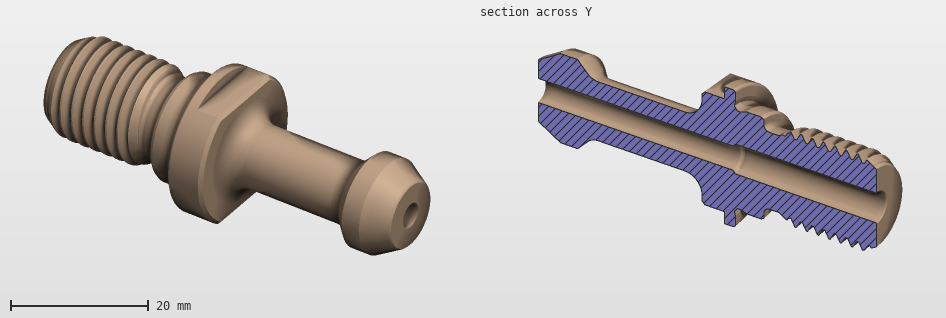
import cadquery as cq
import math

LENGTH = 60.0
FLANGE_START = 25.0
FLANGE_END = 31.0
FLAT_START = 27.0
THREAD_RUNOUT_END = 17.35
COLLAR_START = 20.0
COLLAR_LAND_END = 23.05
RELIEF_START = 24.05
HEAD_LAND_START = 53.0
HEAD_LAND_END = 56.05
WIDE_BORE_DEPTH = FLANGE_START

FLANGE_DIAMETER = 23.0
FLANGE_RADIUS = FLANGE_DIAMETER / 2
FLAT_HALF_WIDTH = 9.5
NECK_RADIUS = 6.5
COLLAR_RADIUS = 8.6
RELIEF_RADIUS = 8.2
RELIEF_DEEPEST_RADIUS = 8.8
RELIEF_FACE_RADIUS = 9.55
SHANK_RADIUS = 5.0
HEAD_RADIUS = 7.5
BORE_RADIUS = 2.0
WIDE_BORE_RADIUS = 2.45

NECK_FILLET = 0.9
COLLAR_CHAMFER_LENGTH = 0.55
COLLAR_CHAMFER_DROP = 0.3
BORE_CHAMFER = 0.2
RELIEF_DEPTH = 0.2
RELIEF_LEAD = 0.3
FLANGE_ROUND = 0.5
REAR_CHAMFER = 0.55
SHANK_FILLET = 3.0
HEAD_FILLET = 2.5
HEAD_SEAT_ANGLE = math.radians(45)
HEAD_CONE_ANGLE = math.radians(30)
HEAD_EDGE_CHAMFER = 0.25

PITCH = 6 / 3
CREST_RADIUS = 8.0
ROOT_RADIUS = 6.8
THREAD_CONE_ANGLE = math.radians(30)
THREAD_HALF_ANGLE = math.radians(30)
CREST_FLAT = PITCH / 8
CUTTER_OVERLAP = 0.1
GROOVE_START = -2.6
GROOVE_TURNS = 10
ROD_OVERRUN = 4.8


def revolve_about_x(profile):
    """Turn a closed profile of (x, radius) points about the X axis."""
    return profile.close().revolve(360, (0, 0, 0), (1, 0, 0))


def turned_body():
    """Everything from the neck to the pull head, as one solid of revolution."""
    def head_arc_point(angle):
        """Point on the fillet into the head, by its turn away from the shank."""
        return (
            head_arc_start + HEAD_FILLET * math.sin(angle),
            SHANK_RADIUS + HEAD_FILLET * (1 - math.cos(angle)),
        )

    head_arc_length = HEAD_FILLET * math.sin(HEAD_SEAT_ANGLE)
    head_arc_rise = HEAD_FILLET * (1 - math.cos(HEAD_SEAT_ANGLE))
    seat_length = (HEAD_RADIUS - SHANK_RADIUS - head_arc_rise) / math.tan(HEAD_SEAT_ANGLE)
    head_arc_start = HEAD_LAND_START - seat_length - head_arc_length
    head_chamfer_start = LENGTH - HEAD_EDGE_CHAMFER
    tip_radius = HEAD_RADIUS - (head_chamfer_start - HEAD_LAND_END) * math.tan(HEAD_CONE_ANGLE)

    profile = (
        cq.Workplane("XY")
        .moveTo(THREAD_RUNOUT_END, 0)
        .lineTo(THREAD_RUNOUT_END, NECK_RADIUS)
        .lineTo(COLLAR_START - NECK_FILLET, NECK_RADIUS)
        .radiusArc((COLLAR_START, NECK_RADIUS + NECK_FILLET), -NECK_FILLET)
        .lineTo(COLLAR_START, COLLAR_RADIUS - COLLAR_CHAMFER_DROP)
        .lineTo(COLLAR_START + COLLAR_CHAMFER_LENGTH, COLLAR_RADIUS)
        .lineTo(COLLAR_LAND_END, COLLAR_RADIUS)
        .lineTo(RELIEF_START, RELIEF_RADIUS)
        .lineTo(FLANGE_START - RELIEF_LEAD, RELIEF_RADIUS)
        .lineTo(FLANGE_START + RELIEF_DEPTH, RELIEF_DEEPEST_RADIUS)
        .lineTo(FLANGE_START, RELIEF_FACE_RADIUS)
        .lineTo(FLANGE_START, FLANGE_RADIUS - FLANGE_ROUND)
        .radiusArc((FLANGE_START + FLANGE_ROUND, FLANGE_RADIUS), FLANGE_ROUND)
        .lineTo(FLANGE_END, FLANGE_RADIUS)
        .lineTo(FLANGE_END, SHANK_RADIUS + SHANK_FILLET)
        .radiusArc((FLANGE_END + SHANK_FILLET, SHANK_RADIUS), -SHANK_FILLET)
        .lineTo(head_arc_start, SHANK_RADIUS)
        .threePointArc(head_arc_point(HEAD_SEAT_ANGLE / 2), head_arc_point(HEAD_SEAT_ANGLE))
        .lineTo(HEAD_LAND_START, HEAD_RADIUS)
        .lineTo(HEAD_LAND_END, HEAD_RADIUS)
        .lineTo(head_chamfer_start, tip_radius)
        .lineTo(LENGTH, tip_radius - HEAD_EDGE_CHAMFER)
        .lineTo(LENGTH, 0)
    )
    return revolve_about_x(profile)


def wrench_flats():
    """Blocks that cut the two flats on the top and bottom of the flange."""
    flat_length = FLANGE_END - FLAT_START
    block_height = FLANGE_RADIUS
    blocks = cq.Workplane("XY")
    for side in (1, -1):
        block = cq.Workplane("XY").box(flat_length, 2 * FLANGE_RADIUS, block_height)
        center_z = side * (FLAT_HALF_WIDTH + block_height / 2)
        blocks = blocks.add(block.translate((FLAT_START + flat_length / 2, 0, center_z)))
    return blocks.combine()


def thread_cutter():
    """Right-handed V groove cutter along a helix about X, overrunning both stud ends."""
    depth = CREST_RADIUS - ROOT_RADIUS
    flank_slope = math.tan(THREAD_HALF_ANGLE)
    crest_half = (PITCH - CREST_FLAT) / 2
    root_half = crest_half - depth * flank_slope
    outer_half = crest_half + CUTTER_OVERLAP * flank_slope
    outer_radius = CREST_RADIUS + CUTTER_OVERLAP
    helix = cq.Wire.makeHelix(PITCH, GROOVE_TURNS * PITCH, ROOT_RADIUS)
    section = [
        (ROOT_RADIUS, -root_half),
        (outer_radius, -outer_half),
        (outer_radius, outer_half),
        (ROOT_RADIUS, root_half),
    ]
    cutter = cq.Workplane("XZ").polyline(section).close().sweep(cq.Workplane(helix), isFrenet=True)
    return cutter.rotate((0, 0, 0), (0, 1, 0), 90).translate((GROOVE_START, 0, 0))


def threaded_stud():
    """Threaded rod trimmed to the stud's outline, which is coned at both ends."""
    cone_length = (CREST_RADIUS - NECK_RADIUS) / math.tan(THREAD_CONE_ANGLE)
    envelope = revolve_about_x(
        cq.Workplane("XY")
        .lineTo(0, NECK_RADIUS)
        .lineTo(cone_length, CREST_RADIUS)
        .lineTo(THREAD_RUNOUT_END - cone_length, CREST_RADIUS)
        .lineTo(THREAD_RUNOUT_END, NECK_RADIUS)
        .lineTo(THREAD_RUNOUT_END, 0)
    )
    rod_length = THREAD_RUNOUT_END + 2 * ROD_OVERRUN
    rod = cq.Workplane("YZ").circle(CREST_RADIUS).extrude(rod_length).translate((-ROD_OVERRUN, 0, 0))
    return rod.cut(thread_cutter()).intersect(envelope)


def bore():
    """Through bore, wider and lightly chamfered from the threaded end, coned down to the narrow part."""
    step = WIDE_BORE_RADIUS - BORE_RADIUS
    profile = (
        cq.Workplane("XY")
        .lineTo(0, WIDE_BORE_RADIUS + BORE_CHAMFER)
        .lineTo(BORE_CHAMFER, WIDE_BORE_RADIUS)
        .lineTo(WIDE_BORE_DEPTH, WIDE_BORE_RADIUS)
        .lineTo(WIDE_BORE_DEPTH + step, BORE_RADIUS)
        .lineTo(LENGTH, BORE_RADIUS)
        .lineTo(LENGTH, 0)
    )
    return revolve_about_x(profile)


flatted_body = turned_body().cut(wrench_flats())

rear_face = flatted_body.faces("|X").faces(cq.selectors.NearestToPointSelector((FLANGE_END, 0, 0)))
chamfered_body = rear_face.wires(cq.selectors.LengthNthSelector(-1)).edges().chamfer(REAR_CHAMFER)

result = chamfered_body.union(threaded_stud()).cut(bore())